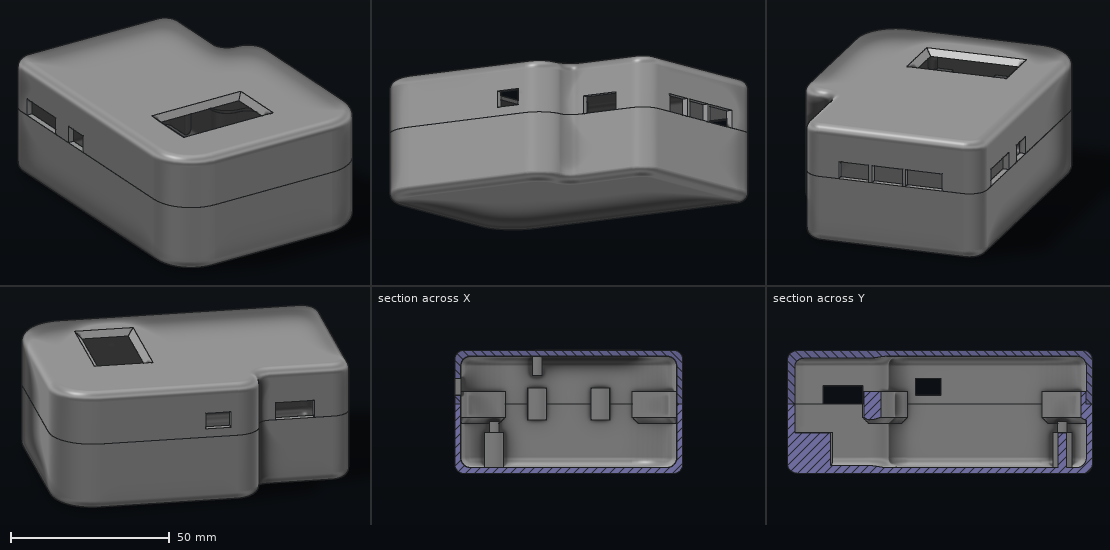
import cadquery as cq
import math

length = 97.0
width = 72.0
height = 39.0
parting_z = 22.0
wall = 2.0

large_corner = 14.0
small_corner = 6.0
notch_x = 30.7
notch_y = 60.0
notch_convex = 8.0
notch_concave = 4.0
convex_center = (notch_x + notch_convex, width - notch_convex)
concave_center = (notch_x - notch_concave, notch_y + notch_concave)

outer_edge_round = 3.0
inner_edge_round = 3.0

window_center = (70.75, 30.0)
window_size = (14.8, 29.4)
window_flare = wall

port_top_z = 27.7
side_ports_y = [(13.0, 25.3), (26.2, 36.4), (37.7, 47.6)]
front_ports_x = [(9.4, 26.1), (33.5, 41.9)]
notch_port_x = (12.1, 24.5)
back_port_x = (41.2, 49.2)
back_port_z = (24.8, 30.0)

rib_diameter = 4.0
rib_bottom_z = 15.9
rib_taper = 1.9
rib_top_z = 26.0

lug_diameter = 6.0
lug_bottom_z = 17.0
lug_top_z = 27.0
lug_spacing = 20.0
lug_inset = 1.0

board_z = 13.0
rest_diameter = 3.0
rest_end_x = 13.5
post_center = (87.5, 59.5)
post_diameter = 6.0
pin_diameter = 3.0
pin_height = 3.5

peg_center = (84.0, 46.0)
peg_diameter = 3.0
peg_bottom_z = 31.0


def on_circle(center, radius, degrees):
    """Point on a circle at an angle from +X."""
    angle = math.radians(degrees)
    return (center[0] + radius * math.cos(angle), center[1] + radius * math.sin(angle))


def add_arc(path, center, radius, start, end):
    """Continue a path with an arc that begins at its current point."""
    middle = on_circle(center, radius, (start + end) / 2)
    return path.threePointArc(middle, on_circle(center, radius, end))


def sketch_at(z):
    """Horizontal workplane at height z."""
    return cq.Workplane("XY", origin=(0, 0, z))


def case_outline(inset, z):
    """Closed case outline, moved inwards by inset; the large corners keep their radius."""
    x0, x1 = inset, length - inset
    y0, y1 = inset, width - inset
    small = small_corner - inset
    right_x = x1 - large_corner
    notch_wall_y = notch_y - inset

    path = sketch_at(z).moveTo(small_corner, y0).lineTo(right_x, y0)
    path = add_arc(path, (right_x, y0 + large_corner), large_corner, -90, 0)
    path = path.lineTo(x1, y1 - large_corner)
    path = add_arc(path, (right_x, y1 - large_corner), large_corner, 0, 90)
    path = path.lineTo(convex_center[0], y1)
    path = add_arc(path, convex_center, notch_convex - inset, 90, 180)
    path = add_arc(path, concave_center, notch_concave + inset, 0, -90)
    path = path.lineTo(small_corner, notch_wall_y)
    path = add_arc(path, (small_corner, notch_y - small_corner), small, 90, 180)
    path = path.lineTo(x0, small_corner)
    path = add_arc(path, (small_corner, small_corner), small, 180, 270)
    return path.close()


def prism(inset, z_low, z_high):
    """Straight-sided solid with the case outline, between two heights."""
    return case_outline(inset, z_low).extrude(z_high - z_low)


def block(x_range, y_range, z_range):
    """Axis-aligned box given by its limits."""
    size = [high - low for low, high in (x_range, y_range, z_range)]
    corner = cq.Vector(x_range[0], y_range[0], z_range[0])
    return cq.Workplane("XY").box(*size, centered=False).translate(corner)


def cylinder(center, diameter, z_low, z_high):
    """Upright cylinder between two heights."""
    return sketch_at(z_low).pushPoints([center]).circle(diameter / 2).extrude(z_high - z_low)



def base_shell():
    shell = prism(0, 0, parting_z).faces("<Z").edges().fillet(outer_edge_round)
    cavity = prism(wall, wall, parting_z).faces("<Z").edges().fillet(inner_edge_round)
    return shell.cut(cavity)


def alignment_rib(path):
    """Round-ended bar along a path on the inner wall face, with a tapered underside."""
    bar = path.offset2D(rib_diameter / 2).extrude(rib_top_z - rib_bottom_z)
    return bar.faces("<Z").edges().chamfer(rib_taper)


def large_corner_rib(center, first_angle):
    """Rib round a large corner; its rounded ends stop level with the ends of the corner arc."""
    end_angle = math.degrees(math.asin(rib_diameter / 2 / large_corner))
    start = first_angle + end_angle
    end = first_angle + 90 - end_angle
    path = sketch_at(rib_bottom_z).moveTo(*on_circle(center, large_corner, start))
    return alignment_rib(add_arc(path, center, large_corner, start, end))


def notch_rib():
    """Rib round the notch, from the edge of the notch port to the end of the convex arc."""
    convex = notch_convex - wall
    concave = notch_concave + wall
    wall_y = notch_y - wall
    end_angle = math.degrees(math.asin(rib_diameter / 2 / convex))
    path = sketch_at(rib_bottom_z).moveTo(notch_port_x[1] + rib_diameter / 2, wall_y)
    path = path.lineTo(concave_center[0], wall_y)
    path = add_arc(path, concave_center, concave, -90, 0)
    return alignment_rib(add_arc(path, convex_center, convex, 180, 90 + end_angle))


def alignment_ribs():
    center_x = length - wall - large_corner
    front_center = (center_x, wall + large_corner)
    back_center = (center_x, width - wall - large_corner)
    return [large_corner_rib(front_center, -90), large_corner_rib(back_center, 0), notch_rib()]


def alignment_lugs():
    """Lugs part sunk in the +X wall, spaced evenly about the middle of the case."""
    lug_x = length - wall - lug_inset
    lug_ys = [width / 2 + side * lug_spacing / 2 for side in (-1, 1)]
    return [cylinder((lug_x, lug_y), lug_diameter, lug_bottom_z, lug_top_z) for lug_y in lug_ys]


def board_rest():
    """Round-ended rib on the base floor that follows the small corner beside the notch."""
    center = (small_corner, notch_y - small_corner)
    path = sketch_at(wall).moveTo(wall, center[1])
    path = add_arc(path, center, small_corner - wall, 180, 90)
    path = path.lineTo(rest_end_x, notch_y - wall)
    return path.offset2D(rest_diameter / 2).extrude(board_z - wall)


def board_post():
    shoulder = cylinder(post_center, post_diameter, wall, board_z)
    return shoulder.union(cylinder(post_center, pin_diameter, board_z, board_z + pin_height))


def make_base():
    base = base_shell()
    inside = prism(wall, wall, height - wall)
    for feature in [*alignment_ribs(), *alignment_lugs(), board_rest(), board_post()]:
        base = base.union(feature.intersect(inside))
    return base



def lid_shell():
    shell = prism(0, parting_z, height).faces(">Z").edges().fillet(outer_edge_round)
    cavity = prism(wall, parting_z, height - wall).faces(">Z").edges().fillet(inner_edge_round)
    return shell.cut(cavity)


def display_window():
    flared_size = [side + 2 * window_flare for side in window_size]
    opening = cq.Workplane("XY", origin=(*window_center, height - wall)).rect(*window_size)
    return opening.workplane(offset=wall).rect(*flared_size).loft(ruled=True)


def lid_ports():
    port_z = (parting_z, port_top_z)
    ports = [block((0, wall), y_range, port_z) for y_range in side_ports_y]
    ports += [block(x_range, (0, wall), port_z) for x_range in front_ports_x]
    ports.append(block(notch_port_x, (notch_y - wall, notch_y), port_z))
    ports.append(block(back_port_x, (width - wall, width), back_port_z))
    return ports


def make_lid():
    lid = lid_shell()
    for opening in [display_window(), *lid_ports()]:
        lid = lid.cut(opening)
    return lid.union(cylinder(peg_center, peg_diameter, peg_bottom_z, height - wall))


base = make_base()
lid = make_lid()
result = cq.Compound.makeCompound([base.val(), lid.val()])